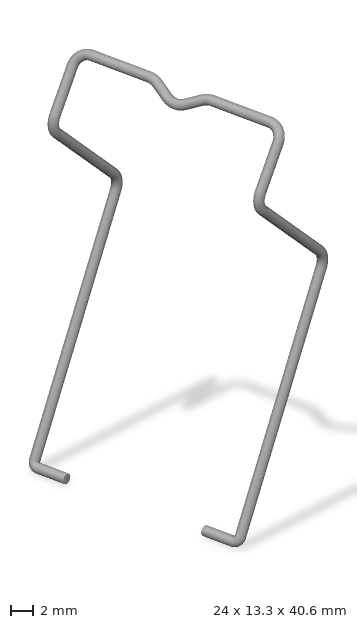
import cadquery as cq
import math

wire_diameter = 1.0
overall_width = 24.0
side_bend_radius = 1.5
top_corner_radius = 1.5
foot_bend_radius = 0.6
dip_bend_radius = 2.0

leg_x = (overall_width - wire_diameter) / 2
foot_end_x = 7.7

elbow_y = 12.7
elbow_z = 23.8
knee_y = 2.55
knee_z = 33.4
bridge_y = 6.6
bridge_z = 39.55

dip_half_width = 3.0
dip_angle = 30.0
dip_depth = dip_half_width * math.tan(math.radians(dip_angle))

upper_leg = cq.Vector(0, knee_y - bridge_y, knee_z - bridge_z).normalized()
dip_point = cq.Vector(0, bridge_y, bridge_z) + upper_leg * dip_depth
half_bends = [
    (cq.Vector(-leg_x, 0, 0), foot_bend_radius),
    (cq.Vector(-leg_x, elbow_y, elbow_z), side_bend_radius),
    (cq.Vector(-leg_x, knee_y, knee_z), side_bend_radius),
    (cq.Vector(-leg_x, bridge_y, bridge_z), top_corner_radius),
    (cq.Vector(-dip_half_width, bridge_y, bridge_z), dip_bend_radius),
]


def mirrored(point):
    """Reflect a point to the other side of the middle plane."""
    return cq.Vector(-point.x, point.y, point.z)


def bend_points(before, corner, after, radius):
    """Start, middle and end of the arc that rounds a corner."""
    to_before = (before - corner).normalized()
    to_after = (after - corner).normalized()
    half_angle = to_before.getAngle(to_after) / 2
    tangent_length = radius / math.tan(half_angle)
    middle_distance = radius / math.sin(half_angle) - radius
    middle_direction = (to_before + to_after).normalized()
    return (
        corner + to_before * tangent_length,
        corner + middle_direction * middle_distance,
        corner + to_after * tangent_length,
    )


def bent_path(start, bends, end):
    """Straight stretches joined by an arc at every bend."""
    corners = [start] + [corner for corner, _ in bends] + [end]
    edges = []
    position = start
    for index, (corner, radius) in enumerate(bends):
        before = corners[index]
        after = corners[index + 2]
        arc_start, arc_middle, arc_end = bend_points(before, corner, after, radius)
        edges.append(cq.Edge.makeLine(position, arc_start))
        edges.append(cq.Edge.makeThreePointArc(arc_start, arc_middle, arc_end))
        position = arc_end
    edges.append(cq.Edge.makeLine(position, end))
    return cq.Wire.assembleEdges(edges)


other_half_bends = [(mirrored(corner), radius) for corner, radius in reversed(half_bends)]
all_bends = half_bends + [(dip_point, dip_bend_radius)] + other_half_bends
foot_end = cq.Vector(-foot_end_x, 0, 0)
centreline = bent_path(foot_end, all_bends, mirrored(foot_end))

end_plane = cq.Plane(origin=foot_end, xDir=(0, 1, 0), normal=(-1, 0, 0))
result = cq.Workplane(end_plane).circle(wire_diameter / 2).sweep(cq.Workplane(centreline))